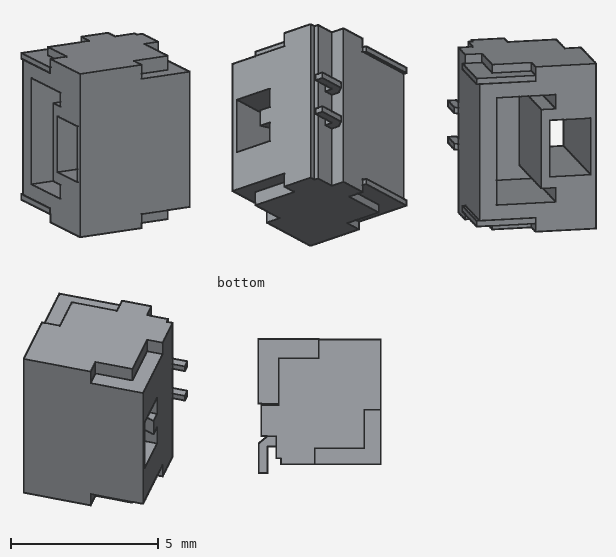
import cadquery as cq

height = 5.76
half_height = height / 2
body_left = 0.105
body_right = 4.16
body_front = 0.02
body_back = 4.255

step_x = 0.61
step_y = 3.3
small_step_x = 0.765
small_step_y = 4.05

recess_depth = 0.495
front_recess_back = 2.26
front_recess_right = 2.05
front_recess_inner_x = 0.69
front_recess_inner_y = 0.655
back_recess_left = 1.91
back_recess_front = 2.395
back_recess_inner_x = 3.6
back_recess_inner_y = 3.71

plate_thickness = 0.2
plate_back = 2.2

socket_left = 0.695
socket_right = 2.755
socket_height = 3.745
socket_depth = 3.455
tongue_left = 2.25
tongue_height = 2.755

window_left = 2.545
window_right = 3.97
window_height = 1.97
latch_rise = 0.41
latch_height = 0.575
latch_length = 0.98

pin_height = 0.21
pin_spacing = 1.27
pin_left = 0.02
pin_right = 0.315
pin_tip_y = 4.55
pin_elbow_y = 3.66
pin_bevel_x = 0.305
pin_bevel_y = 3.54
pin_embed = 0.03


def block(x0, x1, y0, y1, z0, z1):
    """Box spanning the given limits."""
    return cq.Workplane("XY").box(x1 - x0, y1 - y0, z1 - z0, centered=False).translate((x0, y0, z0))


def prism(points, bottom, thickness):
    """Closed XY outline extruded upward from a given height."""
    return cq.Workplane("XY").workplane(offset=bottom).polyline(points).close().extrude(thickness)


def corner_l(outer_x, outer_y, inner_x, inner_y, end_x, end_y):
    """Outline of an L that wraps a corner, with one leg along X and one along Y."""
    return [
        (outer_x, outer_y),
        (end_x, outer_y),
        (end_x, inner_y),
        (inner_x, inner_y),
        (inner_x, end_y),
        (outer_x, end_y),
    ]


def make_housing():
    outline = [
        (body_left, body_front),
        (body_right, body_front),
        (body_right, body_back),
        (small_step_x, body_back),
        (small_step_x, small_step_y),
        (step_x, small_step_y),
        (step_x, step_y),
        (body_left, step_y),
    ]
    return prism(outline, -half_height, height)


def make_socket():
    back = body_front + socket_depth
    cavity = block(socket_left, socket_right, body_front, back, -socket_height / 2, socket_height / 2)
    tongue = block(tongue_left, socket_right, body_front, back, -tongue_height / 2, tongue_height / 2)
    return cavity.cut(tongue)


def make_window():
    return block(window_left, window_right, body_front, body_back, -window_height / 2, window_height / 2)


def make_latch():
    profile = [
        (window_left, body_back - latch_length),
        (window_left + latch_rise, body_back),
        (window_left, body_back),
    ]
    return prism(profile, -latch_height / 2, latch_height)


def make_pin(center_z):
    profile = [
        (pin_left, pin_tip_y),
        (pin_right, pin_tip_y),
        (pin_right, pin_elbow_y),
        (step_x + pin_embed, pin_elbow_y),
        (step_x + pin_embed, step_y),
        (pin_bevel_x, step_y),
        (pin_left, pin_bevel_y),
    ]
    return prism(profile, center_z - pin_height / 2, pin_height)


result = make_housing().cut(make_socket()).cut(make_window()).union(make_latch())

front_recess = corner_l(
    body_left, body_front, front_recess_inner_x, front_recess_inner_y, front_recess_right, front_recess_back
)
back_recess = corner_l(
    body_right, body_back, back_recess_inner_x, back_recess_inner_y, back_recess_left, back_recess_front
)
plate = corner_l(0, 0, front_recess_inner_x, front_recess_inner_y, front_recess_right, plate_back)
top_floor = half_height - recess_depth
for recess_bottom, plate_bottom in (
    (top_floor, top_floor),
    (-half_height, -top_floor - plate_thickness),
):
    result = result.cut(prism(front_recess, recess_bottom, recess_depth))
    result = result.cut(prism(back_recess, recess_bottom, recess_depth))
    result = result.union(prism(plate, plate_bottom, plate_thickness))

for pin_z in (-pin_spacing / 2, pin_spacing / 2):
    result = result.union(make_pin(pin_z))